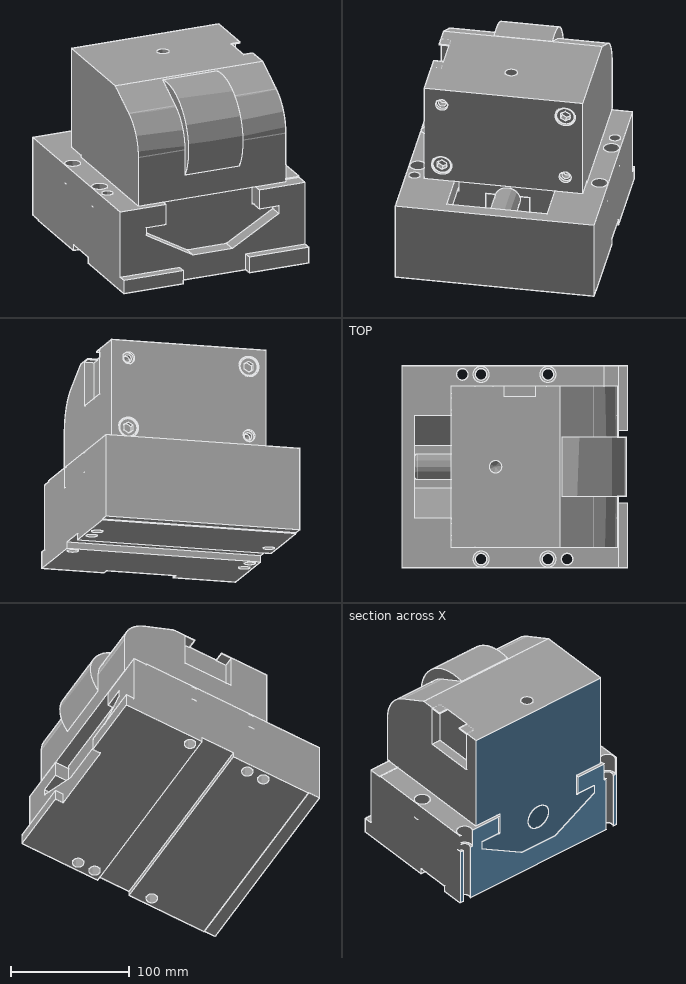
import cadquery as cq
import math

BASE_WIDTH = 170.0
BASE_BODY_LENGTH = 182.4
TOTAL_LENGTH = 190.0
TOTAL_HEIGHT = 165.0
BASE_TOP = 71.5

REAR_WALL = 10.8
REAR_RELIEF_HEIGHT = 0.8
KEYWAY_START = 84.7
KEYWAY_WIDTH = 30.8
KEYWAY_HEIGHT = 5.5
TOE_GAP_WIDTH = 60.8
TOE_HEIGHT_LEFT = 14.5
TOE_HEIGHT_RIGHT = 12.2
CORNER_STEP_DEPTH = 1.0

GUIDE_MOUTH_WIDTH = 85.9
GUIDE_WIDTH = 121.6
LIP_THICKNESS = 18.2
GUIDE_DEPTH = 50.0
FLOOR_WIDTH = 36.1
FLOOR_ANGLE = 30.0

HOLE_ROW_Y = 77.7
BOLT_X = (66.7, 123.0)
BOLT_HOLE_DIAMETER = 9.5
COUNTERBORE_DIAMETER = 13.5
COUNTERBORE_DEPTH = 17.1
DOWEL_HOLE_DIAMETER = 9.5
DOWEL_X_LEFT = 51.0
DOWEL_X_RIGHT = 139.0

SLIDE_WIDTH = 135.7
SLIDE_REAR = 41.5
SLIDE_FRONT = 181.5
SLIDE_CLEARANCE = 2.0
REAR_UNDERCUT = 1.7
SLOPE_START = 133.0
SLOPE_ANGLE = 27.0
NOSE_RADIUS = 36.7
TONGUE_REAR = 61.5
TONGUE_FRONT = 170.0
NECK_WIDTH = 83.6
TONGUE_RECESS_WIDTH = 37.6
TONGUE_RECESS_DEPTH = 0.5

CAM_RADIUS = 45.0
CAM_WIDTH = 50.0
CAM_X = 144.0

NOTCH_START = 86.0
NOTCH_LENGTH = 26.2
NOTCH_DEPTH = 8.5
SIDE_POCKET_LIP = 1.0
SIDE_POCKET_HEIGHT = 38.0
SIDE_POCKET_MARGIN = 9.5
TOP_HOLE_X = 78.8
TOP_HOLE_DIAMETER = 10.5
TOP_HOLE_DEPTH = 30.4
DRILL_POINT_ANGLE = 118.0

FIXING_Y = 52.8
FIXING_UPPER_DROP = 15.0
FIXING_SPACING = 60.0
SCREW_HEAD_DIAMETER = 17.3
SCREW_HEAD_RECESS = 1.1
SCREW_HEAD_CHAMFER = 1.1
HEX_ACROSS_FLATS = 8.0
HEX_DEPTH = 5.7
PIN_HOLE_DIAMETER = 10.3
PIN_HOLE_DEPTH = 3.2
PIN_BORE_DIAMETER = 6.5
PIN_BORE_DEPTH = 5.7

ROD_RADIUS = 10.8
ROD_DROP = 21.3
ROD_LENGTH = 103.2
ROD_END_ROUND = 2.3

SLIDE_BOTTOM = BASE_TOP + SLIDE_CLEARANCE
ROD_Z = BASE_TOP - ROD_DROP
CAM_Z = TOTAL_HEIGHT - CAM_RADIUS
FIXING_UPPER_Z = TOTAL_HEIGHT - FIXING_UPPER_DROP
FIXING_LOWER_Z = FIXING_UPPER_Z - FIXING_SPACING


def block(x_range, y_range, z_range):
    """Box between two positions along each axis."""
    size = [high - low for low, high in (x_range, y_range, z_range)]
    corner = (x_range[0], y_range[0], z_range[0])
    return cq.Workplane("XY").box(*size, centered=False).translate(corner)


def cylinder(start, direction, radius, length):
    """Cylinder that starts at a point and runs along a direction."""
    return cq.Workplane(cq.Solid.makeCylinder(radius, length, cq.Vector(*start), cq.Vector(*direction)))


def drilled_hole(start, direction, diameter, depth):
    """Cutter for a blind hole with a conical drill point."""
    radius = diameter / 2
    point_height = radius / math.tan(math.radians(DRILL_POINT_ANGLE / 2))
    tip_base = cq.Vector(*start) + cq.Vector(*direction) * depth
    point = cq.Solid.makeCone(radius, 0, point_height, tip_base, cq.Vector(*direction))
    return cylinder(start, direction, radius, depth).union(cq.Workplane(point))


def guide_profile(mouth_width, top, x_range):
    """T-shaped bar with a V-shaped underside, shared by the guideway and the tongue."""
    mouth = mouth_width / 2
    wing = GUIDE_WIDTH / 2
    floor = FLOOR_WIDTH / 2
    wing_top = BASE_TOP - LIP_THICKNESS
    floor_z = BASE_TOP - GUIDE_DEPTH
    wing_bottom = floor_z + (wing - floor) * math.tan(math.radians(FLOOR_ANGLE))
    half = [(mouth, top), (mouth, wing_top), (wing, wing_top), (wing, wing_bottom), (floor, floor_z)]
    mirrored = [(-y, z) for y, z in reversed(half)]
    start, end = x_range
    return cq.Workplane("YZ", origin=(start, 0, 0)).polyline(half + mirrored).close().extrude(end - start)


def base_blank():
    """Base body with its two front toes, keyway and rear relief."""
    side = BASE_WIDTH / 2
    gap = TOE_GAP_WIDTH / 2
    toe_x = (BASE_BODY_LENGTH, TOTAL_LENGTH)
    blank = block((0, BASE_BODY_LENGTH), (-side, side), (0, BASE_TOP))
    blank = blank.union(block(toe_x, (gap, side), (0, TOE_HEIGHT_LEFT)))
    blank = blank.union(block(toe_x, (-side, -gap), (0, TOE_HEIGHT_RIGHT)))
    keyway_x = (KEYWAY_START, KEYWAY_START + KEYWAY_WIDTH)
    blank = blank.cut(block(keyway_x, (-side, side), (0, KEYWAY_HEIGHT)))
    return blank.cut(block((0, REAR_WALL), (-side, side), (0, REAR_RELIEF_HEIGHT)))


def mounting_holes():
    """Cutters for four counterbored bolt holes and two dowel holes."""
    down = (0, 0, -1)
    cutters = []
    for row_y in (-HOLE_ROW_Y, HOLE_ROW_Y):
        for bolt_x in BOLT_X:
            start = (bolt_x, row_y, BASE_TOP)
            cutters.append(cylinder(start, down, BOLT_HOLE_DIAMETER / 2, BASE_TOP))
            cutters.append(cylinder(start, down, COUNTERBORE_DIAMETER / 2, COUNTERBORE_DEPTH))
    for dowel_x, row_y in ((DOWEL_X_LEFT, HOLE_ROW_Y), (DOWEL_X_RIGHT, -HOLE_ROW_Y)):
        cutters.append(cylinder((dowel_x, row_y, BASE_TOP), down, DOWEL_HOLE_DIAMETER / 2, BASE_TOP))
    return cutters


def make_base():
    base = base_blank()
    base = base.cut(guide_profile(GUIDE_MOUTH_WIDTH, BASE_TOP, (REAR_WALL, BASE_BODY_LENGTH)))
    corner_step = block(
        (TONGUE_FRONT, BASE_BODY_LENGTH),
        (GUIDE_MOUTH_WIDTH / 2, BASE_WIDTH / 2),
        (BASE_TOP - CORNER_STEP_DEPTH, BASE_TOP),
    )
    base = base.cut(corner_step)
    for cutter in mounting_holes():
        base = base.cut(cutter)
    return base


def slide_block():
    """Slide body with a sloped, rounded nose and a raised rear underside."""
    slope = math.radians(SLOPE_ANGLE)
    drop = (SLIDE_FRONT - SLOPE_START) * math.tan(slope)
    nose_corner = (SLIDE_FRONT, TOTAL_HEIGHT - drop)
    rear_bottom = SLIDE_BOTTOM + REAR_UNDERCUT
    outline = [
        (SLIDE_REAR, rear_bottom),
        (SLIDE_REAR, TOTAL_HEIGHT),
        (SLOPE_START, TOTAL_HEIGHT),
        nose_corner,
        (SLIDE_FRONT, SLIDE_BOTTOM),
        (TONGUE_REAR, SLIDE_BOTTOM),
        (TONGUE_REAR, rear_bottom),
    ]
    body = cq.Workplane("XZ").polyline(outline).close().extrude(SLIDE_WIDTH / 2, both=True)
    nose_edge = cq.selectors.NearestToPointSelector((nose_corner[0], 0, nose_corner[1]))
    return body.edges(nose_edge).fillet(NOSE_RADIUS)


def tongue():
    """T-shaped tongue that fills the guideway, with a shallow recess in its rear face."""
    bar = guide_profile(NECK_WIDTH, SLIDE_BOTTOM, (TONGUE_REAR, TONGUE_FRONT))
    half_recess = TONGUE_RECESS_WIDTH / 2
    recess_x = (TONGUE_REAR, TONGUE_REAR + TONGUE_RECESS_DEPTH)
    return bar.cut(block(recess_x, (-half_recess, half_recess), (0, BASE_TOP - LIP_THICKNESS)))


def cut_side_pocket(slide):
    """Pocket in the left side under a thin lip, with a shorter notch that opens it upward."""
    side = SLIDE_WIDTH / 2
    depth_y = (side - NOTCH_DEPTH, side)
    pocket_top = TOTAL_HEIGHT - SIDE_POCKET_LIP
    notch_end = NOTCH_START + NOTCH_LENGTH
    pocket_x = (NOTCH_START - SIDE_POCKET_MARGIN, notch_end + SIDE_POCKET_MARGIN)
    slide = slide.cut(block((NOTCH_START, notch_end), depth_y, (pocket_top, TOTAL_HEIGHT)))
    return slide.cut(block(pocket_x, depth_y, (pocket_top - SIDE_POCKET_HEIGHT, pocket_top)))


def add_socket_screw(slide, y, z):
    """Screw head set below the rear face, with a chamfered rim and a hexagon socket."""
    radius = SCREW_HEAD_DIAMETER / 2
    head_x = SLIDE_REAR + SCREW_HEAD_RECESS
    forward = (1, 0, 0)
    seat = cylinder((SLIDE_REAR, y, z), forward, radius, SCREW_HEAD_RECESS + SCREW_HEAD_CHAMFER)
    rim = cq.Solid.makeCone(
        radius - SCREW_HEAD_CHAMFER, radius, SCREW_HEAD_CHAMFER, cq.Vector(head_x, y, z), cq.Vector(*forward)
    )
    across_corners = HEX_ACROSS_FLATS / math.cos(math.pi / 6)
    socket = (
        cq.Workplane("YZ", origin=(head_x, y, z))
        .transformed(rotate=(0, 0, 90))
        .polygon(6, across_corners)
        .extrude(HEX_DEPTH)
    )
    return slide.cut(seat).union(cq.Workplane(rim)).cut(socket)


def add_pin_hole(slide, y, z):
    """Stepped blind hole in the rear face."""
    forward = (1, 0, 0)
    slide = slide.cut(cylinder((SLIDE_REAR, y, z), forward, PIN_HOLE_DIAMETER / 2, PIN_HOLE_DEPTH))
    bore_start = (SLIDE_REAR + PIN_HOLE_DEPTH, y, z)
    return slide.cut(drilled_hole(bore_start, forward, PIN_BORE_DIAMETER, PIN_BORE_DEPTH))


def make_slide():
    slide = slide_block().union(tongue())
    slide = slide.union(cylinder((CAM_X, -CAM_WIDTH / 2, CAM_Z), (0, 1, 0), CAM_RADIUS, CAM_WIDTH))
    slide = cut_side_pocket(slide)
    top_hole_start = (TOP_HOLE_X, 0, TOTAL_HEIGHT)
    slide = slide.cut(drilled_hole(top_hole_start, (0, 0, -1), TOP_HOLE_DIAMETER, TOP_HOLE_DEPTH))
    for y, z in ((-FIXING_Y, FIXING_UPPER_Z), (FIXING_Y, FIXING_LOWER_Z)):
        slide = add_socket_screw(slide, y, z)
    for y, z in ((FIXING_Y, FIXING_UPPER_Z), (-FIXING_Y, FIXING_LOWER_Z)):
        slide = add_pin_hole(slide, y, z)
    return slide.cut(cylinder((REAR_WALL, 0, ROD_Z), (1, 0, 0), ROD_RADIUS, ROD_LENGTH))


def make_rod():
    """Spring rod with a rounded end that bears on the rear wall of the guideway and enters the tongue."""
    rod = cylinder((REAR_WALL, 0, ROD_Z), (1, 0, 0), ROD_RADIUS, ROD_LENGTH)
    return rod.faces("<X").fillet(ROD_END_ROUND)


base = make_base()
slide = make_slide()
rod = make_rod()

result = cq.Compound.makeCompound([body.solids().val() for body in (base, slide, rod)])